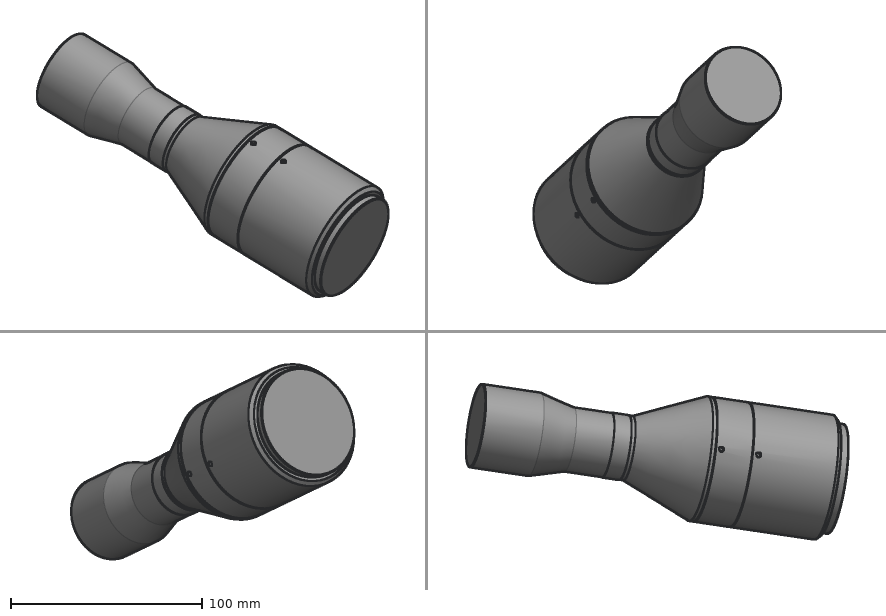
import cadquery as cq

length = 193.7
small_end_length = 31.5
waist_start = 50.2
collar_start = 70.5
collar_end = 79.8
cone_start = 82.0
cone_end = 119.7
ring_joint = 122.0
barrel_joint = 141.8
barrel_end = 189.2

small_end_radius = 22.0
collar_radius = 17.2
waist_radius = collar_radius - 0.2
barrel_radius = 33.03
spigot_radius = 29.0

shoulder_chamfer = 2.1
edge_chamfer = 0.4
groove_width = 0.4
groove_depth = 0.2

screw_stations = (125.1, 145.0)
screw_count = 3
screw_radius = 1.25
screw_depth = 2.0
first_screw_angle = -3.0


def make_body():
    """Solid of revolution about X: small end, waist, collar, cone, barrel and spigot."""
    outline = (
        cq.Workplane("XY")
        .moveTo(0, 0)
        .lineTo(0, small_end_radius - edge_chamfer)
        .lineTo(edge_chamfer, small_end_radius)
        .lineTo(small_end_length, small_end_radius)
        .lineTo(waist_start, waist_radius)
        .lineTo(collar_start, waist_radius)
        .lineTo(collar_start, collar_radius)
        .lineTo(collar_end, collar_radius)
        .lineTo(collar_end, waist_radius)
        .lineTo(cone_start, waist_radius)
        .lineTo(cone_end, barrel_radius)
        .lineTo(barrel_end - shoulder_chamfer, barrel_radius)
        .lineTo(barrel_end, barrel_radius - shoulder_chamfer)
        .lineTo(barrel_end, spigot_radius)
        .lineTo(length - edge_chamfer, spigot_radius)
        .lineTo(length, spigot_radius - edge_chamfer)
        .lineTo(length, 0)
        .close()
    )
    return outline.revolve(360, (0, 0, 0), (1, 0, 0))


def make_groove(start, radius):
    """Ring cutter for a shallow groove that begins at a station along X."""
    return (
        cq.Workplane("YZ", origin=(start, 0, 0))
        .circle(radius + groove_depth)
        .circle(radius - groove_depth)
        .extrude(groove_width)
    )


def make_screw_hole(station, angle):
    """Radial cutter for a blind hole in the barrel, turned about X from +Z."""
    return (
        cq.Workplane("XY", origin=(station, 0, barrel_radius - screw_depth))
        .circle(screw_radius)
        .extrude(2 * screw_depth)
        .rotate((0, 0, 0), (1, 0, 0), angle)
    )


result = make_body()

for joint in (ring_joint, barrel_joint):
    result = result.cut(make_groove(joint - groove_width / 2, barrel_radius))

result = result.cut(make_groove(barrel_end, spigot_radius))

for station in screw_stations:
    for index in range(screw_count):
        angle = first_screw_angle + index * 360 / screw_count
        result = result.cut(make_screw_hole(station, angle))